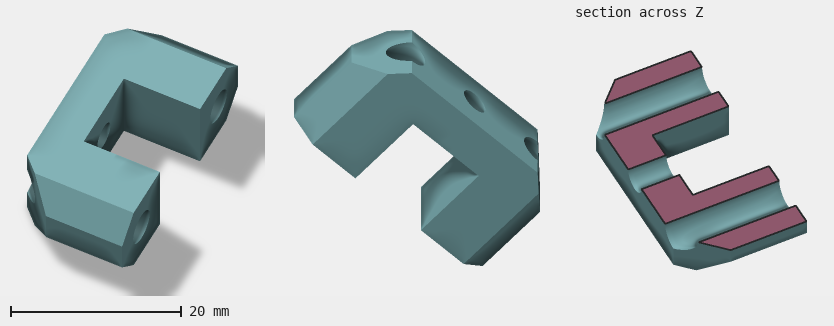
import cadquery as cq

length = 30.0
depth = length / 2
height = length / 3
wall = height / 2
slot_width = 10.4
corner_chamfer = height / 2
edge_chamfer = 3.0
arm_hole_diameter = 4.3
web_hole_diameter = 3.4
arm_hole_spacing = length - 2 * corner_chamfer


def bracket_body():
    """Block with bevelled arm sides and back corners; the back face is at X = 0."""
    block = cq.Workplane("XY").box(depth, length, height, centered=(False, True, True))
    block = block.faces("<Y or >Y").edges("|X").chamfer(edge_chamfer)

    side = length / 2
    flat = side - corner_chamfer
    plan = (
        cq.Workplane("XY")
        .polyline([
            (0, -flat),
            (corner_chamfer, -side),
            (depth, -side),
            (depth, side),
            (corner_chamfer, side),
            (0, flat),
        ])
        .close()
        .extrude(height / 2, both=True)
    )
    return block.intersect(plan)


def slot():
    """Opening between the two arms."""
    return (
        cq.Workplane("XY")
        .box(depth - wall, slot_width, height, centered=(False, True, True))
        .translate((wall, 0, 0))
    )


def through_hole(y, diameter):
    """Cylinder along the full depth in X at the given Y."""
    return cq.Workplane("YZ").center(y, 0).circle(diameter / 2).extrude(depth)


result = bracket_body().cut(slot())
result = result.cut(through_hole(0, web_hole_diameter))
for y in (-arm_hole_spacing / 2, arm_hole_spacing / 2):
    result = result.cut(through_hole(y, arm_hole_diameter))